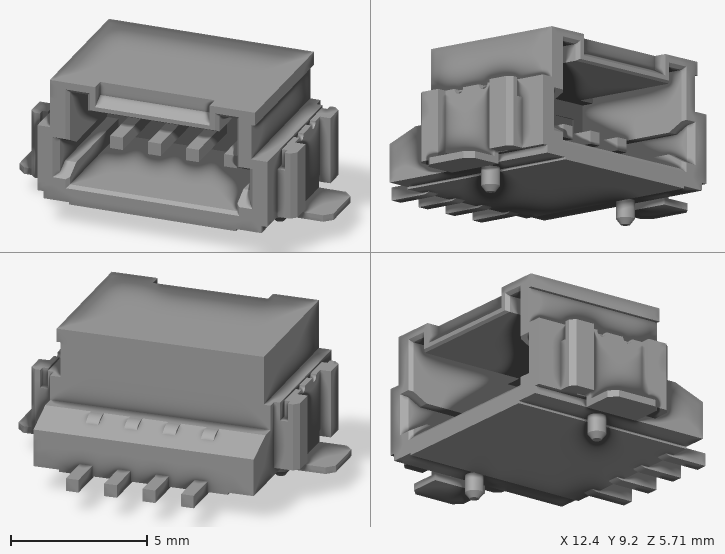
import cadquery as cq


hood_half_width = 4.049
hood_depth = 5.91
hood_top = 4.96
base_half_width = 4.54
base_depth = 5.52
base_top = 3.06
base_bottom = 0.45
sole_half_width = 4.3
sole_bottom = 0.16
pad_half_width = 3.3
pad_bottom = 0.07
rear_depth = 7.71
rear_top = 2.1
rear_edge_top = 1.61
rear_slope_start = 6.45

side_step_depth = 0.15
side_step_top = 4.44

cavity_half_width = 3.3
cavity_floor = 0.83
cavity_roof = 3.92
cavity_depth = 4.96
mouth_flare = 0.12
roof_flare = 0.07
mouth_lead = 0.12
slot_inner_x = 2.59
slot_top = 4.55
slot_depth = 4.46

groove_half_width = 3.75
groove_bottom = 1.46
groove_top = 2.28
groove_side_flare = 0.2
groove_side_lead = 0.25
groove_edge_flare = 0.4
groove_edge_lead = 0.75

latch_half_width = 2.26
latch_depth = 0.51
latch_back_z = 4.44
latch_front_z = 4.15

mark_size = 0.95
mark_x = 2.31
mark_z = 2.84
mark_depth = 0.05

contact_count = 4
contact_pitch = 1.5
contact_width = 0.5
contact_thickness = 0.5
contact_tip_y = 2.11
contact_end_y = 9.2
contact_front_bend_y = 6.66
contact_foot_bend_y = 7.24
contact_rear_bend_y = 7.0
contact_heel_y = 7.58
contact_outer_radius = 0.6
contact_inner_radius = 0.1

clip_y = 3.26
post_outer_x = 5.25
post_outer_half_span = 2.26
post_half_gap = 1.25
post_root_half_gap = 1.55
post_chamfer = 0.2
post_notch_floor = 2.35

clip_inner_x = 4.61
clip_thickness = 0.22
clip_half_width = 2.0
clip_shoulder_z = 0.72
clip_relief_radius = 0.11
foot_half_width = 1.14
foot_end_x = 6.2
foot_thickness = 0.26
foot_chamfer = 0.3
clip_notch_radius = 0.21
clip_notch_offset = 0.6

peg_x = 3.75
peg_radius = 0.35
peg_tip_radius = 0.17
peg_bottom = -0.75
peg_cone_height = 0.22


def block(x0, x1, y0, y1, z0, z1):
    """Box between two opposite corners."""
    return cq.Workplane("XY").box(x1 - x0, y1 - y0, z1 - z0, centered=False).translate((x0, y0, z0))


def on_both_sides(solid):
    """The solid together with its mirror image across x = 0."""
    return solid.union(solid.mirror("YZ"))


def prism_along_x(points, x0, x1):
    """Extrude an outline of (y, z) points from x0 to x1."""
    return cq.Workplane("YZ", origin=(x0, 0, 0)).polyline(points).close().extrude(x1 - x0)


def make_housing():
    hood = block(-hood_half_width, hood_half_width, 0, hood_depth, cavity_floor, hood_top)
    base = block(-base_half_width, base_half_width, 0, base_depth, base_bottom, base_top)
    core = block(-sole_half_width, sole_half_width, 0, hood_depth, sole_bottom, base_top)
    rear = prism_along_x(
        [
            (0, sole_bottom),
            (rear_depth, sole_bottom),
            (rear_depth, rear_edge_top),
            (rear_slope_start, rear_top),
            (0, rear_top),
        ],
        -sole_half_width,
        sole_half_width,
    )
    pad = block(-pad_half_width, pad_half_width, 0, rear_depth, pad_bottom, rear_edge_top)
    side_step = block(
        hood_half_width - side_step_depth, hood_half_width, 0, hood_depth, base_top, side_step_top
    )
    return hood.union(base).union(core).union(rear).union(pad).cut(side_step)


def flared_pocket(x0, x1, z0, z1, depth, top_flare):
    """Rectangular pocket from the mating face that widens towards its mouth."""
    mouth = (
        cq.Workplane("XZ")
        .polyline(
            [
                (x0 - mouth_flare, z0 - mouth_flare),
                (x1 + mouth_flare, z0 - mouth_flare),
                (x1 + mouth_flare, z1 + top_flare),
                (x0 - mouth_flare, z1 + top_flare),
            ]
        )
        .close()
        .workplane(offset=-mouth_lead)
        .polyline([(x0, z0), (x1, z0), (x1, z1), (x0, z1)])
        .close()
        .loft(ruled=True)
    )
    return block(x0, x1, 0, depth, z0, z1).union(mouth)


def make_grooves():
    height_taper = prism_along_x(
        [
            (0, groove_bottom - groove_edge_flare),
            (groove_edge_lead, groove_bottom),
            (cavity_depth, groove_bottom),
            (cavity_depth, groove_top),
            (groove_edge_lead, groove_top),
            (0, groove_top + groove_edge_flare),
        ],
        -base_half_width,
        base_half_width,
    )
    mouth_half_width = groove_half_width + groove_side_flare
    width_taper = (
        cq.Workplane("XY")
        .polyline(
            [
                (-mouth_half_width, 0),
                (mouth_half_width, 0),
                (groove_half_width, groove_side_lead),
                (groove_half_width, cavity_depth),
                (-groove_half_width, cavity_depth),
                (-groove_half_width, groove_side_lead),
            ]
        )
        .close()
        .extrude(hood_top)
    )
    return height_taper.intersect(width_taper)


def make_cavity():
    cavity = flared_pocket(
        -cavity_half_width, cavity_half_width, cavity_floor, cavity_roof, cavity_depth, roof_flare
    )
    slot = flared_pocket(
        slot_inner_x, cavity_half_width, cavity_roof, slot_top, slot_depth, mouth_flare
    )
    mark = block(
        mark_x - mark_size / 2,
        mark_x + mark_size / 2,
        cavity_depth,
        cavity_depth + mark_depth,
        mark_z - mark_size / 2,
        mark_z + mark_size / 2,
    )
    return cavity.union(on_both_sides(slot)).union(make_grooves()).union(mark)


def make_latch_recess():
    return prism_along_x(
        [(0, latch_front_z), (latch_depth, latch_back_z), (latch_depth, hood_top), (0, hood_top)],
        -latch_half_width,
        latch_half_width,
    )


def make_contact(x):
    """Bent square wire: mating pin, sloping leg inside the housing, soldering tail."""
    pin_bottom = rear_top - contact_thickness
    wire = prism_along_x(
        [
            (contact_tip_y, pin_bottom),
            (contact_front_bend_y, pin_bottom),
            (contact_foot_bend_y, 0),
            (contact_end_y, 0),
            (contact_end_y, contact_thickness),
            (contact_heel_y, contact_thickness),
            (contact_rear_bend_y, rear_top),
            (contact_tip_y, rear_top),
        ],
        x - contact_width / 2,
        x + contact_width / 2,
    )

    def round_bend(solid, y, z, radius):
        bend = cq.selectors.NearestToPointSelector((x, y, z))
        return solid.edges("|X").edges(bend).fillet(radius)

    wire = round_bend(wire, contact_rear_bend_y, rear_top, contact_outer_radius)
    wire = round_bend(wire, contact_foot_bend_y, 0, contact_outer_radius)
    wire = round_bend(wire, contact_front_bend_y, pin_bottom, contact_inner_radius)
    return round_bend(wire, contact_heel_y, contact_thickness, contact_inner_radius)


def make_posts():
    """Pair of posts on the +X side; each is notched at its top for the clip."""
    posts = (
        block(
            base_half_width,
            post_outer_x,
            clip_y - post_outer_half_span,
            clip_y + post_outer_half_span,
            base_bottom,
            base_top,
        )
        .edges("|Z and >X")
        .chamfer(post_chamfer)
    )
    outer_gap = block(
        clip_inner_x,
        post_outer_x,
        clip_y - post_half_gap,
        clip_y + post_half_gap,
        base_bottom,
        base_top,
    )
    root_gap = block(
        base_half_width,
        clip_inner_x,
        clip_y - post_root_half_gap,
        clip_y + post_root_half_gap,
        base_bottom,
        base_top,
    )
    notch = block(
        base_half_width,
        clip_inner_x + clip_thickness,
        clip_y - post_outer_half_span,
        clip_y + post_outer_half_span,
        post_notch_floor,
        base_top,
    )
    return posts.cut(outer_gap).cut(root_gap).cut(notch)


def make_clip():
    """Bent sheet on the +X side: upright plate held by the posts and a soldering foot."""
    outer_x = clip_inner_x + clip_thickness
    plate = block(
        clip_inner_x,
        outer_x,
        clip_y - clip_half_width,
        clip_y + clip_half_width,
        clip_shoulder_z,
        base_top,
    )
    neck = block(
        clip_inner_x, outer_x, clip_y - foot_half_width, clip_y + foot_half_width, 0, base_top
    )
    plate = plate.union(neck)
    for side in (-1, 1):
        corner = cq.selectors.NearestToPointSelector(
            (outer_x, clip_y + side * foot_half_width, clip_shoulder_z)
        )
        plate = plate.edges("|X").edges(corner).fillet(clip_relief_radius)
    notches = (
        cq.Workplane("YZ", origin=(clip_inner_x, 0, 0))
        .pushPoints([(clip_y + side * clip_notch_offset, base_top) for side in (-1, 1)])
        .circle(clip_notch_radius)
        .extrude(clip_thickness)
    )
    foot = (
        block(
            clip_inner_x,
            foot_end_x,
            clip_y - foot_half_width,
            clip_y + foot_half_width,
            0,
            foot_thickness,
        )
        .edges("|Z and >X")
        .chamfer(foot_chamfer)
    )
    return plate.cut(notches).union(foot)


def make_peg():
    cone_top = peg_bottom + peg_cone_height
    return (
        cq.Workplane("XZ", origin=(0, clip_y, 0))
        .moveTo(0, peg_bottom)
        .lineTo(peg_tip_radius, peg_bottom)
        .lineTo(peg_radius, cone_top)
        .lineTo(peg_radius, base_bottom)
        .lineTo(0, base_bottom)
        .close()
        .revolve(360, (0, 0, 0), (0, 1, 0))
        .translate((peg_x, 0, 0))
    )


result = make_housing().cut(make_cavity()).cut(make_latch_recess())
for index in range(contact_count):
    contact_x = (index - (contact_count - 1) / 2) * contact_pitch
    result = result.union(make_contact(contact_x))
result = result.union(on_both_sides(make_posts()))
result = result.union(on_both_sides(make_clip()))
result = result.union(on_both_sides(make_peg()))